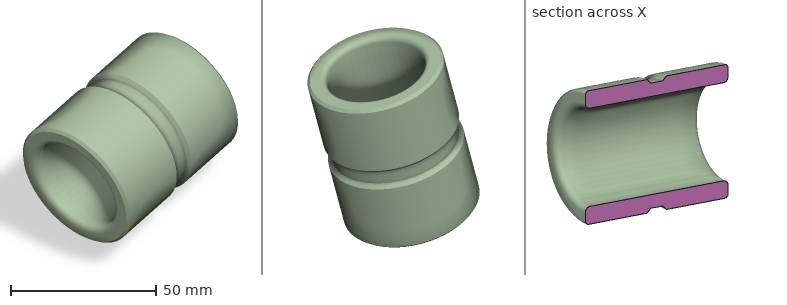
import cadquery as cq

length = 60.0
outer_radius = 24.0
bore_radius = 17.5
bore_lip_radius = 2.0
end_chamfer = 1.0

groove_depth = 1.5
groove_floor_width = 5.0
groove_mouth_width = groove_floor_width + 2 * groove_depth


def sleeve():
    """Plain sleeve with chamfered outer rims and rounded bore mouths."""
    body = cq.Workplane("XZ").circle(outer_radius).extrude(length / 2, both=True)
    body = body.faces("<Y or >Y").edges().chamfer(end_chamfer)
    bore = cq.Workplane("XZ").circle(bore_radius).extrude(length, both=True)
    body = body.cut(bore)
    bore_mouths = cq.selectors.RadiusNthSelector(0)
    return body.edges(bore_mouths).fillet(bore_lip_radius)


def groove():
    """Ring that cuts the trapezoidal groove, revolved about Y."""
    floor_radius = outer_radius - groove_depth
    half_floor = groove_floor_width / 2
    half_mouth = groove_mouth_width / 2
    profile = (
        cq.Workplane("XY")
        .moveTo(floor_radius, -half_floor)
        .lineTo(outer_radius, -half_mouth)
        .lineTo(outer_radius, half_mouth)
        .lineTo(floor_radius, half_floor)
        .close()
    )
    return profile.revolve(360, (0, 0, 0), (0, 1, 0))


result = sleeve().cut(groove())